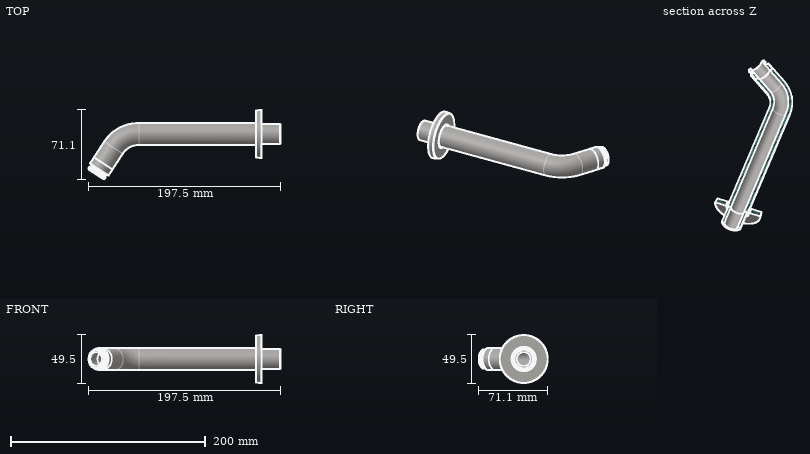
import cadquery as cq
import math

arm_radius = 11.5
bore_radius = 7.1
bend_angle = 57.0
bend_radius = 30.5
outlet_length = 26.8

flange_front = 120.2
flange_thickness = 6.0
flange_back = flange_front + flange_thickness
flange_back_radius = 24.76
flange_front_radius = 24.3
flange_bevel = 0.5
flange_rim_length = 1.2

seal_radius = 12.6

connector_radius = 10.5
connector_length = 20.0
connector_chamfer = 1.0

nozzle_insert_length = 7.5
nozzle_insert_radius = 10.5
neck_radius = 8.9
neck_length = 2.0
collar_radius = 10.0
collar_length = 4.0
collar_chamfer = 1.0

angle = math.radians(bend_angle)
bend_middle = (
    -bend_radius * math.sin(angle / 2),
    -bend_radius * (1 - math.cos(angle / 2)),
)
bend_end = (-bend_radius * math.sin(angle), -bend_radius * (1 - math.cos(angle)))
outlet_direction = (-math.cos(angle), -math.sin(angle), 0)
outlet_end = (
    bend_end[0] + outlet_length * outlet_direction[0],
    bend_end[1] + outlet_length * outlet_direction[1],
)
outlet_plane = cq.Plane(
    origin=(*outlet_end, 0), xDir=(0, 0, 1), normal=outlet_direction
)


def cylinder_along_x(start, length, radius):
    return cq.Workplane("YZ", origin=(start, 0, 0)).circle(radius).extrude(length)


def cylinder_at_outlet(start, length, radius):
    plane = cq.Workplane(outlet_plane).workplane(offset=start)
    return plane.circle(radius).extrude(length)


def bent_rod(radius):
    path = (
        cq.Workplane("XY")
        .moveTo(flange_back, 0)
        .lineTo(0, 0)
        .threePointArc(bend_middle, bend_end)
        .lineTo(*outlet_end)
    )
    return cq.Workplane("YZ", origin=(flange_back, 0, 0)).circle(radius).sweep(path)


def nozzle_insert():
    return cylinder_at_outlet(-nozzle_insert_length, nozzle_insert_length, nozzle_insert_radius)


def make_arm():
    pipe = bent_rod(arm_radius).cut(bent_rod(bore_radius))
    return pipe.cut(nozzle_insert())


def make_flange():
    profile = [
        (flange_front, seal_radius),
        (flange_front, flange_front_radius - flange_bevel),
        (flange_front + flange_bevel, flange_front_radius),
        (flange_back - flange_rim_length, flange_back_radius),
        (flange_back, flange_back_radius),
        (flange_back, seal_radius),
    ]
    return cq.Workplane("XY").polyline(profile).close().revolve(360, (0, 0, 0), (1, 0, 0))


def make_seal():
    ring = cylinder_along_x(flange_front, flange_thickness, seal_radius)
    return ring.cut(cylinder_along_x(flange_front, flange_thickness, arm_radius))


def make_connector():
    stub = cylinder_along_x(flange_back, connector_length, connector_radius)
    stub = stub.faces(">X").chamfer(connector_chamfer)
    return stub.cut(cylinder_along_x(flange_back, connector_length, bore_radius))


def make_nozzle():
    neck = cylinder_at_outlet(0, neck_length, neck_radius)
    collar = cylinder_at_outlet(neck_length, collar_length, collar_radius)
    collar = collar.edges().chamfer(collar_chamfer)
    bore = cylinder_at_outlet(
        -nozzle_insert_length,
        nozzle_insert_length + neck_length + collar_length,
        bore_radius,
    )
    return nozzle_insert().union(neck).union(collar).cut(bore)


arm = make_arm()
flange = make_flange()
seal = make_seal()
connector = make_connector()
nozzle = make_nozzle()

result = cq.Compound.makeCompound(
    [arm.val(), flange.val(), seal.val(), connector.val(), nozzle.val()]
)